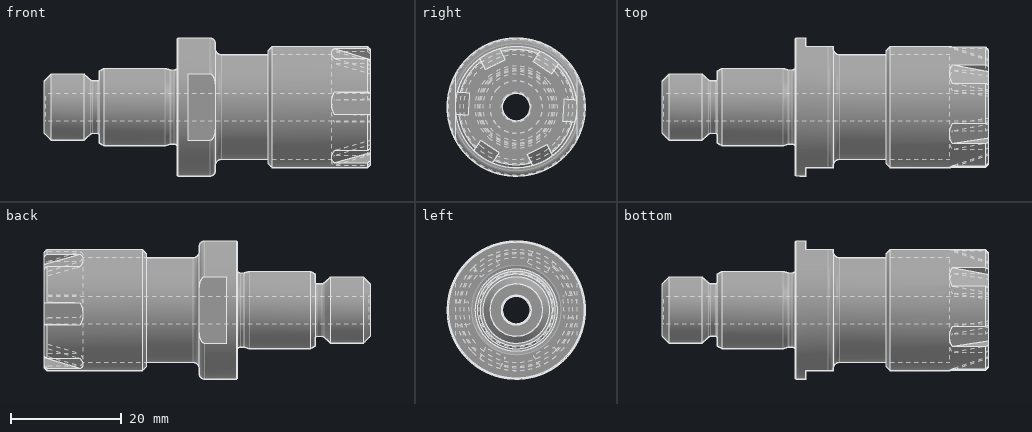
import cadquery as cq
import math

total_length = 59.0
neck_x = 8.8
shank_x = 10.0
flange_x = 24.0
flat_x = 26.0
flange_end_x = 31.0
nut_x = 40.5

bore_radius = 2.5
pilot_radius = 6.0
neck_radius = 4.8
shank_radius = 7.0
flange_radius = 12.5
body_radius = 9.5
nut_radius = 11.0

bore_chamfer = 0.25
pilot_chamfer = 1.3
neck_cone_angle = 42.0
neck_blend_radius = 0.55
neck_fillet = 0.3
shank_chamfer_length = 0.9
shank_chamfer_angle = 30.0
flange_front_chamfer = 0.25
flange_back_round = 1.0
body_fillet = 1.05
nut_back_chamfer = 0.75
nut_front_chamfer = 0.55

relief_floor_x = 22.95
relief_floor_radius = 6.7
relief_ramp_angle = 17.0
relief_fillet = 0.7
relief_face_depth = 0.2
relief_outer_radius = 8.1

across_flats = 2 * nut_radius

slot_count = 6
slot_width = 4.0
slot_length = 7.1
slot_end_depth = 2.4
slot_tilt = 3.7
slot_x = total_length - slot_length
seat_end_x = slot_x


def revolve_about_x(outline):
    """Close an XY outline and turn it about the X axis."""
    return outline.close().revolve(360, (0, 0, 0), (1, 0, 0))


def ramp_tangent(floor_x, floor_radius, fillet, angle):
    """Point where a ramp falling at `angle` meets the fillet that ends at a floor's start."""
    turn = math.radians(angle)
    return floor_x - fillet * math.sin(turn), floor_radius + fillet * (1 - math.cos(turn))


def make_holder():
    """Stepped shaft with neck, relief groove, flange, spanner flats and through bore."""
    cone_end_x, cone_end_radius = ramp_tangent(
        neck_x, neck_radius, neck_blend_radius, neck_cone_angle
    )
    cone_length = (pilot_radius - cone_end_radius) / math.tan(math.radians(neck_cone_angle))
    shank_chamfer_depth = shank_chamfer_length * math.tan(math.radians(shank_chamfer_angle))
    ramp_end_x, ramp_end_radius = ramp_tangent(
        relief_floor_x, relief_floor_radius, relief_fillet, relief_ramp_angle
    )
    ramp_length = (shank_radius - ramp_end_radius) / math.tan(math.radians(relief_ramp_angle))
    relief_deep_x = flange_x + relief_face_depth

    shaft = revolve_about_x(
        cq.Workplane("XY")
        .moveTo(0, bore_radius + bore_chamfer)
        .lineTo(0, pilot_radius - pilot_chamfer)
        .lineTo(pilot_chamfer, pilot_radius)
        .lineTo(cone_end_x - cone_length, pilot_radius)
        .lineTo(cone_end_x, cone_end_radius)
        .radiusArc((neck_x, neck_radius), -neck_blend_radius)
        .lineTo(shank_x - neck_fillet, neck_radius)
        .radiusArc((shank_x, neck_radius + neck_fillet), -neck_fillet)
        .lineTo(shank_x, shank_radius - shank_chamfer_depth)
        .lineTo(shank_x + shank_chamfer_length, shank_radius)
        .lineTo(ramp_end_x - ramp_length, shank_radius)
        .lineTo(ramp_end_x, ramp_end_radius)
        .radiusArc((relief_floor_x, relief_floor_radius), -relief_fillet)
        .lineTo(relief_deep_x - relief_fillet, relief_floor_radius)
        .radiusArc((relief_deep_x, relief_floor_radius + relief_fillet), -relief_fillet)
        .lineTo(flange_x, relief_outer_radius)
        .lineTo(flange_x, flange_radius - flange_front_chamfer)
        .lineTo(flange_x + flange_front_chamfer, flange_radius)
        .lineTo(flange_end_x - flange_back_round, flange_radius)
        .radiusArc((flange_end_x, flange_radius - flange_back_round), flange_back_round)
        .lineTo(flange_end_x, body_radius + body_fillet)
        .radiusArc((flange_end_x + body_fillet, body_radius), -body_fillet)
        .lineTo(seat_end_x, body_radius)
        .lineTo(seat_end_x, bore_radius)
        .lineTo(bore_chamfer, bore_radius)
    )
    return shaft.cut(make_flat_cutter())


def make_flat_cutter():
    """Pair of blocks that leaves two parallel flats facing -Y and +Y on the flange."""
    length = flange_end_x - flat_x
    block = cq.Workplane("XY").box(
        length, flange_radius, 2 * flange_radius, centered=(False, False, True)
    )
    upper = block.translate((flat_x, across_flats / 2, 0))
    return upper.union(upper.mirror("XZ"))


def make_slot_cutter():
    """Wedge with a floor sloping from the nut surface down to the open end."""
    slope = slot_end_depth / slot_length
    clearance = 0.6
    return (
        cq.Workplane("XZ")
        .moveTo(slot_x - clearance, nut_radius + slope * clearance)
        .lineTo(total_length + clearance, nut_radius - slot_end_depth - slope * clearance)
        .lineTo(total_length + clearance, nut_radius + slope * clearance)
        .close()
        .extrude(slot_width / 2, both=True)
    )


def make_nut():
    """Clamping nut seated over the end of the holder, with six spanner slots."""
    nut = revolve_about_x(
        cq.Workplane("XY")
        .moveTo(nut_x, body_radius)
        .lineTo(nut_x, nut_radius - nut_back_chamfer)
        .lineTo(nut_x + nut_back_chamfer, nut_radius)
        .lineTo(total_length - nut_front_chamfer, nut_radius)
        .lineTo(total_length, nut_radius - nut_front_chamfer)
        .lineTo(total_length, bore_radius)
        .lineTo(seat_end_x, bore_radius)
        .lineTo(seat_end_x, body_radius)
    )
    cutter = make_slot_cutter()
    for index in range(slot_count):
        angle = index * 360 / slot_count + 90 - slot_tilt
        nut = nut.cut(cutter.rotate((0, 0, 0), (1, 0, 0), angle))
    return nut


holder = make_holder()
nut = make_nut()

result = cq.Compound.makeCompound([holder.val(), nut.val()])